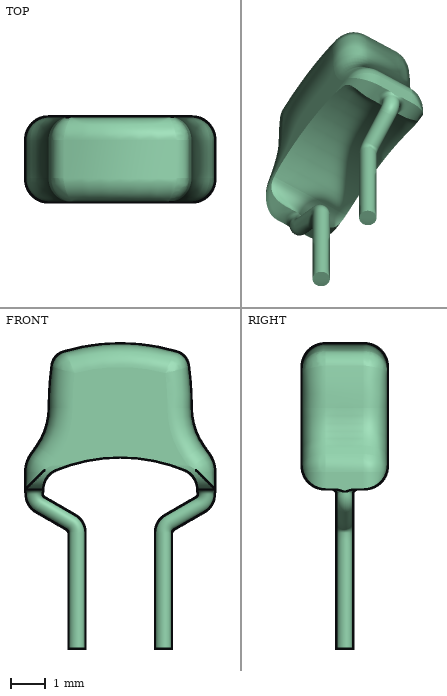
import cadquery as cq
import math

body_width = 5.5
body_depth = 2.5
total_height = 8.83
body_bottom = 4.6
rim_radius = 0.7

foot_top = 5.1
foot_radius = 0.9
flank_angle = math.radians(35)
neck_half_width = 2.07
neck_radius = 1.9
shoulder_x = 1.94
shoulder_radius = 0.5
crown_radius = 5.7

arch_half_width = 2.22
arch_rise = 0.92
arch_corner_radius = 0.6

lead_diameter = 0.5
lead_pitch = 2.5
lead_straight = 3.35
lead_bend_radius = 0.35
lead_slope = math.radians(30)
lead_embed = 0.3
flare_radius = 0.12

half_width = body_width / 2
lead_radius = lead_diameter / 2
lead_inner_x = lead_pitch / 2
lead_outer_x = (half_width + arch_half_width) / 2
foot_width = half_width - arch_half_width
trim_margin = 1.0


def arc_point(center_x, center_z, radius, angle):
    """Point of an arc in the XZ plane; the angle is measured from +X."""
    return (center_x + radius * math.cos(angle), center_z + radius * math.sin(angle))


def mirrored(point):
    """The same point on the other side of the YZ plane."""
    return (-point[0], point[1])


def make_bell():
    """Bell-shaped block with rounded shoulders and rims, open-ended downwards."""
    foot_arc = (half_width - foot_radius, foot_top, foot_radius)
    foot_start = (half_width, foot_top)
    foot_middle = arc_point(*foot_arc, flank_angle / 2)
    foot_end = arc_point(*foot_arc, flank_angle)

    neck_center_x = neck_half_width + neck_radius
    flank_run = foot_end[0] - neck_center_x + neck_radius * math.cos(flank_angle)
    flank_rise = flank_run / math.tan(flank_angle)
    neck_top = foot_end[1] + flank_rise + neck_radius * math.sin(flank_angle)
    neck_arc = (neck_center_x, neck_top, neck_radius)
    neck_start = arc_point(*neck_arc, math.pi + flank_angle)
    neck_middle = arc_point(*neck_arc, math.pi + flank_angle / 2)
    neck_end = (neck_half_width, neck_top)

    crown_drop = crown_radius - math.sqrt(crown_radius**2 - shoulder_x**2)
    shoulder = (shoulder_x, total_height - crown_drop)
    side_run = neck_half_width - shoulder_x
    side_rise = shoulder[1] - neck_top
    side_radius = (side_run**2 + side_rise**2) / (2 * side_run)
    side_angle = math.asin(side_rise / side_radius)
    side_middle = arc_point(neck_half_width - side_radius, neck_top, side_radius, side_angle / 2)

    trim_z = body_bottom - trim_margin
    bell = (
        cq.Workplane("XZ")
        .moveTo(-half_width, trim_z)
        .lineTo(half_width, trim_z)
        .lineTo(*foot_start)
        .threePointArc(foot_middle, foot_end)
        .lineTo(*neck_start)
        .threePointArc(neck_middle, neck_end)
        .threePointArc(side_middle, shoulder)
        .threePointArc((0, total_height), mirrored(shoulder))
        .threePointArc(mirrored(side_middle), mirrored(neck_end))
        .threePointArc(mirrored(neck_middle), mirrored(neck_start))
        .lineTo(*mirrored(foot_end))
        .threePointArc(mirrored(foot_middle), mirrored(foot_start))
        .close()
        .extrude(body_depth / 2, both=True)
    )
    shoulder_zone = cq.selectors.BoxSelector(
        (-half_width, -body_depth, (neck_top + shoulder[1]) / 2),
        (half_width, body_depth, total_height),
    )
    bell = bell.edges("|Y").edges(shoulder_zone).fillet(shoulder_radius)
    return bell.faces("<Y or >Y").edges("not <Z").fillet(rim_radius)


def make_bottom_envelope():
    """Block with rounded long bottom edges; it trims the bell and mitres its feet."""
    return (
        cq.Workplane("XY", origin=(0, 0, body_bottom))
        .rect(2 * body_width, body_depth)
        .extrude(total_height)
        .faces("<Z")
        .edges("|X")
        .fillet(rim_radius)
    )


def make_arch():
    """Cutter for the recess: a wide arc with a smaller tangent arc at each end."""
    corner_x = arch_half_width - arch_corner_radius
    wide_radius = (corner_x**2 + arch_rise**2 - arch_corner_radius**2) / (
        2 * (arch_rise - arch_corner_radius)
    )
    apex_z = body_bottom + arch_rise
    wide_center_z = apex_z - wide_radius
    corner_angle = math.atan2(body_bottom - wide_center_z, corner_x)
    corner_arc = (corner_x, body_bottom, arch_corner_radius)
    corner_middle = arc_point(*corner_arc, corner_angle / 2)
    corner_end = arc_point(*corner_arc, corner_angle)
    return (
        cq.Workplane("XZ")
        .moveTo(-arch_half_width, body_bottom)
        .lineTo(arch_half_width, body_bottom)
        .threePointArc(corner_middle, corner_end)
        .threePointArc((0, apex_z), mirrored(corner_end))
        .threePointArc(mirrored(corner_middle), (-arch_half_width, body_bottom))
        .close()
        .extrude(body_depth, both=True)
    )


def make_lead():
    """Right-hand lead: straight pin, two opposite bends and a sloping run."""
    turn = math.pi / 2 - lead_slope
    bend_run = lead_bend_radius * (1 - math.cos(turn))
    bend_rise = lead_bend_radius * math.sin(turn)
    slope_run = lead_outer_x - lead_inner_x - 2 * bend_run
    slope_rise = slope_run * math.tan(lead_slope)
    upper_bend_end = lead_straight + 2 * bend_rise + slope_rise

    lower_bend = (lead_inner_x + lead_bend_radius, lead_straight, lead_bend_radius)
    upper_bend = (lead_outer_x - lead_bend_radius, upper_bend_end, lead_bend_radius)
    lower_middle = arc_point(*lower_bend, math.pi - turn / 2)
    lower_end = arc_point(*lower_bend, math.pi - turn)
    upper_start = arc_point(*upper_bend, -turn)
    upper_middle = arc_point(*upper_bend, -turn / 2)
    path = (
        cq.Workplane("XZ")
        .moveTo(lead_inner_x, 0)
        .lineTo(lead_inner_x, lead_straight)
        .threePointArc(lower_middle, lower_end)
        .lineTo(*upper_start)
        .threePointArc(upper_middle, (lead_outer_x, upper_bend_end))
        .lineTo(lead_outer_x, body_bottom + lead_embed)
    )
    return cq.Workplane("XY", origin=(lead_inner_x, 0, 0)).circle(lead_radius).sweep(path)


def make_flare():
    """Concave meniscus around the top of the right-hand lead, as wide as the foot."""
    flare_bottom = body_bottom - flare_radius
    outer_radius = lead_radius + flare_radius
    concave_middle = arc_point(outer_radius, flare_bottom, flare_radius, 0.75 * math.pi)
    collar = (
        cq.Workplane("XZ")
        .moveTo(0, flare_bottom)
        .lineTo(lead_radius, flare_bottom)
        .threePointArc(concave_middle, (outer_radius, body_bottom))
        .lineTo(0, body_bottom)
        .close()
        .revolve(360, (0, 0), (0, 1))
        .translate((lead_outer_x, 0, 0))
    )
    foot_slab = (
        cq.Workplane("XY", origin=(lead_outer_x, 0, 0))
        .box(foot_width, body_depth, 2 * total_height)
    )
    return collar.intersect(foot_slab)


body = make_bell().intersect(make_bottom_envelope()).cut(make_arch())
right_lead = make_lead().union(make_flare())
left_lead = right_lead.mirror("YZ")
result = body.union(right_lead).union(left_lead)